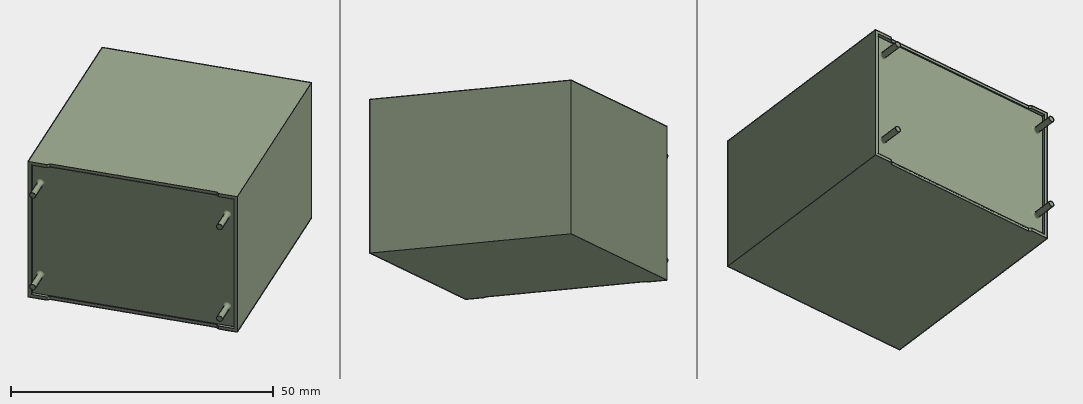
import cadquery as cq
import math

CASE_WIDTH = 42.0
CASE_DEPTH = 45.0
CASE_HEIGHT = 30.0
WALL = 0.7

RELIEF_DEPTH = 0.45
RELIEF_INSET = 3.8

TOTAL_DEPTH = 49.0
FILL_RECESS = 0.7
PIN_DIAMETER = 1.2
PIN_PITCH_X = 37.5
PIN_PITCH_Z = 20.3
MENISCUS_RADIUS = 0.5

RIM_Y = -CASE_DEPTH / 2
FILL_Y = RIM_Y + FILL_RECESS
PIN_TIP_Y = RIM_Y - (TOTAL_DEPTH - CASE_DEPTH)
CAVITY_END_Y = CASE_DEPTH / 2 - WALL


def cavity_block(front_y):
    """Block with the cross-section of the case cavity, from front_y to the cavity floor."""
    depth = CAVITY_END_Y - front_y
    return (
        cq.Workplane("XY")
        .box(CASE_WIDTH - 2 * WALL, depth, CASE_HEIGHT - 2 * WALL)
        .translate((0, front_y + depth / 2, 0))
    )


def rim_relief():
    """Trapezoidal cutter through the full height, with 45 degree ends."""
    outer_half = CASE_WIDTH / 2 - RELIEF_INSET
    inner_half = outer_half - RELIEF_DEPTH
    floor_y = RIM_Y + RELIEF_DEPTH
    outline = [
        (-outer_half, RIM_Y),
        (outer_half, RIM_Y),
        (inner_half, floor_y),
        (-inner_half, floor_y),
    ]
    return (
        cq.Workplane("XY")
        .polyline(outline)
        .close()
        .extrude(CASE_HEIGHT / 2, both=True)
    )


def make_case():
    outer = cq.Workplane("XY").box(CASE_WIDTH, CASE_DEPTH, CASE_HEIGHT)
    return outer.cut(cavity_block(RIM_Y)).cut(rim_relief())


def pin_with_meniscus():
    """Round pin along Y on the axis, flaring concavely into the potting face."""
    pin_radius = PIN_DIAMETER / 2
    flare_radius = pin_radius + MENISCUS_RADIUS
    flare_top_y = FILL_Y - MENISCUS_RADIUS
    arc_offset = MENISCUS_RADIUS * (1 - math.cos(math.pi / 4))
    return (
        cq.Workplane("XY")
        .moveTo(0, PIN_TIP_Y)
        .lineTo(pin_radius, PIN_TIP_Y)
        .lineTo(pin_radius, flare_top_y)
        .threePointArc((pin_radius + arc_offset, FILL_Y - arc_offset), (flare_radius, FILL_Y))
        .lineTo(0, FILL_Y)
        .close()
        .revolve(360, (0, 0, 0), (0, 1, 0))
    )


def make_potting():
    """Potting block and its four pins, one solid."""
    potting = cavity_block(FILL_Y)
    for x in (-PIN_PITCH_X / 2, PIN_PITCH_X / 2):
        for z in (-PIN_PITCH_Z / 2, PIN_PITCH_Z / 2):
            potting = potting.union(pin_with_meniscus().translate((x, 0, z)))
    return potting


case = make_case()
potting = make_potting()

result = cq.Compound.makeCompound([case.val(), potting.val()])